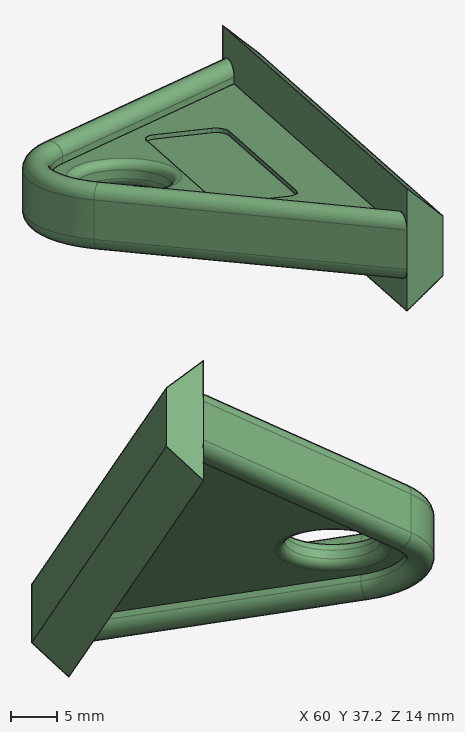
import cadquery as cq
import math

rail_length = 60.0
rail_depth = 4.16
rail_front_height = 14.0
rail_back_height = 6.8

nose_radius = 11.0
nose_center_y = -22.0

rim_height = 7.5
rim_width = 3.0

web_thickness = 3.0

hole_diameter = 10.5
hole_edge_radius = 1.0

pocket_length = 25.0
pocket_width = 9.5
pocket_back_y = -6.0
pocket_corner_radius = 1.5
pocket_depth = 0.5

corner_to_nose = math.hypot(rail_length / 2, nose_center_y)
side_angle = math.atan2(-nose_center_y, rail_length / 2) + math.asin(nose_radius / corner_to_nose)

center_radius = nose_radius - rim_width / 2
tangent_x = center_radius * math.sin(side_angle)
tangent_y = nose_center_y - center_radius * math.cos(side_angle)
end_y = rail_depth / 2
end_x = tangent_x + (end_y - tangent_y) / math.tan(side_angle)


def rim_center_line():
    return (
        cq.Workplane("XY")
        .moveTo(-end_x, end_y)
        .lineTo(-tangent_x, tangent_y)
        .threePointArc((0, nose_center_y - center_radius), (tangent_x, tangent_y))
        .lineTo(end_x, end_y)
    )


def make_rail():
    return (
        cq.Workplane("YZ")
        .moveTo(0, -rail_front_height / 2)
        .lineTo(rail_depth, -rail_back_height / 2)
        .lineTo(rail_depth, rail_back_height / 2)
        .lineTo(0, rail_front_height / 2)
        .close()
        .extrude(rail_length / 2, both=True)
    )


def make_rim():
    side_direction = (math.cos(side_angle), -math.sin(side_angle), 0)
    section_plane = cq.Plane(origin=(-end_x, end_y, 0), xDir=(0, 0, 1), normal=side_direction)
    return cq.Workplane(section_plane).slot2D(rim_height, rim_width).sweep(rim_center_line())


def make_web():
    web = rim_center_line().close().extrude(web_thickness / 2, both=True)
    hole = cq.Workplane("XY").center(0, nose_center_y).circle(hole_diameter / 2)
    web = web.cut(hole.extrude(web_thickness, both=True))
    return web.edges("%CIRCLE").edges(cq.selectors.RadiusNthSelector(0)).fillet(hole_edge_radius)


def make_pocket():
    return (
        cq.Workplane("XY", origin=(0, pocket_back_y - pocket_width / 2, web_thickness / 2 - pocket_depth))
        .rect(pocket_length, pocket_width)
        .extrude(rim_height)
        .edges("|Z")
        .fillet(pocket_corner_radius)
    )


def in_front_of_rail(shape):
    """Trim away everything behind the rail's wide face."""
    size = 2 * rail_length
    front_space = cq.Workplane("XY").box(size, size, size).translate((0, -size / 2, 0))
    return shape.intersect(front_space)


plate = in_front_of_rail(make_web().union(make_rim())).cut(make_pocket())
result = make_rail().union(plate)